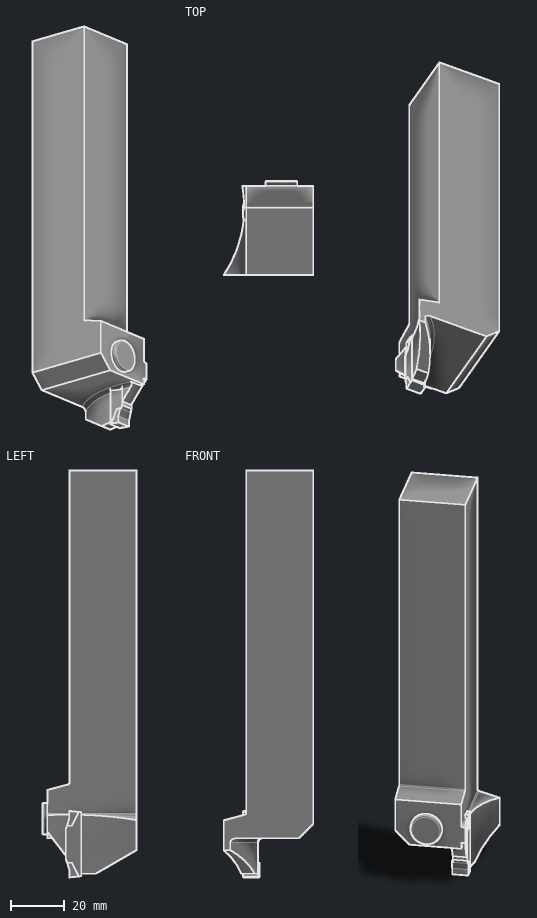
import cadquery as cq
import math

shank_size = 25.0
holder_length = 150.0
head_depth = 33.2
head_bottom = 13.2
shoulder_top = 33.45
shoulder_angle = 15.0
corner_chamfer = 5.4
ledge_fillet = 0.5

boss_diameter = 11.86
boss_top = 35.1
boss_x = 13.1
boss_z = 20.5
boss_fillet = 0.6

cutting_y = 25.0
blade_reach = 8.39
outer_crest = -0.75
inner_crest = 4.5
inner_root = -5.9
blade_top = 22.2
tip_start = 15.3
tip_angle = 30.0
heel_y = 21.2
heel_angle = 52.5
blade_fillet = 1.5

insert_length = 24.8
insert_drop = 1.35
insert_front = 20.6
insert_back = 26.4
insert_relief = 0.45
middle_left = -1.05
head_left = -1.2
head_right = 5.0
corner_radius = 0.5
land_length = 2.6
ramp_length = 5.5
ramp_y = 25.9
middle_start = 6.7
head_inner_y = 24.1
head_outer_y = 21.5


def extrude_x(points, start, end):
    """Prism of a YZ outline between two X positions."""
    return cq.Workplane("YZ", origin=(start, 0, 0)).polyline(points).close().extrude(end - start)


def crest_radius(sagitta):
    """Radius of an arc that rises by sagitta from Y = 0 to its crest at the cutting edge."""
    return (cutting_y**2 + sagitta**2) / (2 * sagitta)


def outer_wall_cut():
    """Cylinder that hollows the blade's outer side."""
    radius = crest_radius(outer_crest + blade_reach)
    axis = (outer_crest - radius, cutting_y, 0)
    return cq.Workplane("XY", origin=axis).circle(radius).extrude(blade_top)


def inner_wall_envelope():
    """Round body inside the blade's inner wall, flaring into the underside of the head."""
    radius = crest_radius(inner_crest - inner_root)
    flange = radius + shank_size
    return (
        cq.Workplane("XZ", origin=(inner_crest - radius, cutting_y, 0))
        .lineTo(radius, 0)
        .lineTo(radius, head_bottom - blade_fillet)
        .radiusArc((radius + blade_fillet, head_bottom), blade_fillet)
        .lineTo(flange, head_bottom)
        .lineTo(flange, blade_top)
        .lineTo(0, blade_top)
        .close()
        .revolve(360, (0, 0, 0), (0, 1, 0))
    )


def make_shank():
    shoulder_drop = (head_depth - shank_size) * math.tan(math.radians(shoulder_angle))
    profile = [
        (0, head_bottom),
        (head_depth, head_bottom),
        (head_depth, shoulder_top - shoulder_drop),
        (shank_size, shoulder_top),
        (shank_size, holder_length),
        (0, holder_length),
    ]
    shank = extrude_x(profile, 0, shank_size)
    return shank.faces("<Z").edges(">X").chamfer(corner_chamfer)


def make_blade():
    """Blade and the web joining it to the head, trimmed by the two curved walls."""
    tip_height = tip_start * math.tan(math.radians(tip_angle))
    heel_height = (head_depth - heel_y) * math.tan(math.radians(heel_angle))
    side_profile = [
        (0, tip_height),
        (tip_start, 0),
        (heel_y, 0),
        (head_depth, heel_height),
        (head_depth, blade_top),
        (0, blade_top),
    ]
    side = extrude_x(side_profile, -blade_reach, shank_size - corner_chamfer)

    top_drop = blade_reach * math.tan(math.radians(shoulder_angle))
    sloped_top = (
        cq.Workplane("XZ")
        .moveTo(-blade_reach, 0)
        .lineTo(shank_size, 0)
        .lineTo(shank_size, blade_top)
        .lineTo(0, blade_top)
        .lineTo(-blade_reach, blade_top - top_drop)
        .close()
        .extrude(-head_depth)
    )
    return side.intersect(sloped_top).intersect(inner_wall_envelope()).cut(outer_wall_cut())


def make_boss():
    start_y = head_depth
    return (
        cq.Workplane("XZ", origin=(boss_x, start_y, boss_z))
        .circle(boss_diameter / 2)
        .extrude(start_y - boss_top)
        .faces(">Y")
        .edges()
        .fillet(boss_fillet)
    )


def make_insert():
    """Narrow middle body with a wider cutting head at each end."""
    bottom = -insert_drop
    middle_z = bottom + insert_length / 2
    middle_profile = [
        (insert_front, bottom + insert_relief),
        (cutting_y, bottom),
        (cutting_y, bottom + land_length),
        (ramp_y, bottom + ramp_length),
        (insert_back, bottom + middle_start),
        (insert_back, middle_z),
        (insert_front, middle_z),
    ]
    head_profile = [
        (head_outer_y, bottom + insert_relief * (cutting_y - head_outer_y) / (cutting_y - insert_front)),
        (cutting_y, bottom),
        (cutting_y, bottom + land_length),
        (ramp_y, bottom + ramp_length),
        (head_inner_y, bottom + ramp_length),
    ]
    middle = extrude_x(middle_profile, middle_left, inner_crest)
    head = extrude_x(head_profile, head_left, head_right)
    lower_half = middle.union(head)
    upper_half = lower_half.mirror("XY", (0, 0, middle_z))
    rounded_front = (
        cq.Workplane("XZ", origin=((head_left + head_right) / 2, insert_front, middle_z))
        .rect(head_right - head_left, insert_length)
        .extrude(insert_front - insert_back)
        .edges("|Y")
        .fillet(corner_radius)
    )
    return lower_half.union(upper_half).intersect(rounded_front)


def make_holder():
    body = make_shank().union(make_blade())
    back_ledge = cq.selectors.NearestToPointSelector((shank_size / 2, shank_size, shoulder_top))
    blade_ledge = cq.selectors.NearestToPointSelector((0, head_depth / 2, blade_top))
    body = body.edges(back_ledge).fillet(ledge_fillet)
    body = body.edges(blade_ledge).fillet(ledge_fillet)
    return body.union(make_boss())


insert = make_insert()
holder = make_holder().cut(insert)

result = cq.Compound.makeCompound([holder.val(), insert.val()])